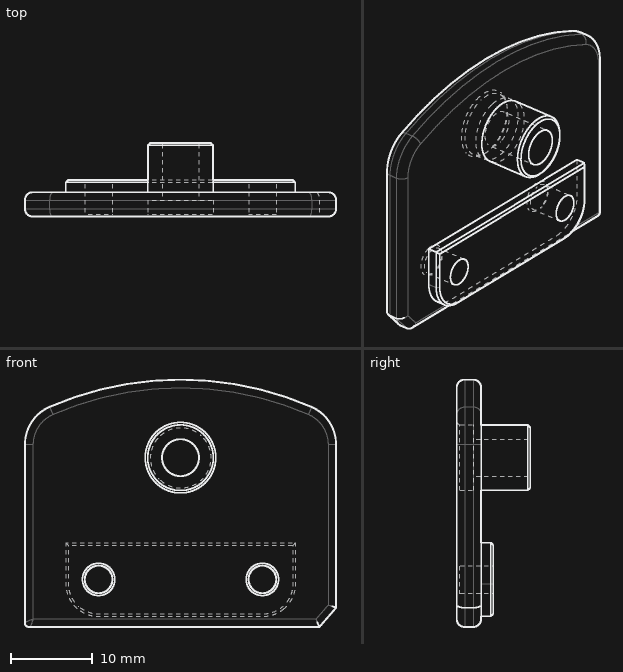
import cadquery as cq
import math

plate_width = 38.0
plate_height = 30.2
plate_thickness = 3.0
crown_radius = 40.0
shoulder_radius = 5.0
corner_cut_width = 2.05
corner_cut_height = 2.35
bottom_corner_radius = 0.5
edge_fillet = 1.0

boss_height_above_bottom = 20.67
boss_diameter = 7.98
boss_length = 6.0
boss_hole_diameter = 4.5
counterbore_diameter = 8.0
counterbore_depth = 2.0

pad_width = 28.0
pad_height = 9.0
pad_thickness = 1.5
pad_corner_radius = 4.0
hole_spacing = 20.0
hole_height_above_bottom = 5.8
hole_diameter = 3.35

break_chamfer = 0.3

half_width = plate_width / 2
back_y = plate_thickness


def cylinder_y(x, z, diameter, y_start, y_end):
    """Cylinder along Y between two Y positions."""
    return cq.Workplane("XY").add(
        cq.Solid.makeCylinder(
            diameter / 2, y_end - y_start, cq.Vector(x, y_start, z), cq.Vector(0, 1, 0)
        )
    )


def countersink_y(x, z, diameter):
    """Cone that chamfers a hole rim on the front face."""
    rim_radius = diameter / 2 + break_chamfer
    return cq.Workplane("XY").add(
        cq.Solid.makeCone(
            rim_radius, diameter / 2, break_chamfer, cq.Vector(x, 0, z), cq.Vector(0, 1, 0)
        )
    )


def make_plate():
    crown_center_z = plate_height - crown_radius
    shoulder_center_x = half_width - shoulder_radius
    center_distance = crown_radius - shoulder_radius
    shoulder_center_z = crown_center_z + math.sqrt(center_distance**2 - shoulder_center_x**2)
    joint_angle = math.asin(shoulder_center_x / center_distance)
    joint_x = crown_radius * math.sin(joint_angle)
    joint_z = crown_center_z + crown_radius * math.cos(joint_angle)
    middle_angle = (math.pi / 2 + joint_angle) / 2
    middle_x = shoulder_center_x + shoulder_radius * math.sin(middle_angle)
    middle_z = shoulder_center_z + shoulder_radius * math.cos(middle_angle)

    outline = (
        cq.Workplane("XZ")
        .moveTo(-half_width, 0)
        .lineTo(half_width - corner_cut_width, 0)
        .lineTo(half_width, corner_cut_height)
        .lineTo(half_width, shoulder_center_z)
        .threePointArc((middle_x, middle_z), (joint_x, joint_z))
        .threePointArc((0, plate_height), (-joint_x, joint_z))
        .threePointArc((-middle_x, middle_z), (-half_width, shoulder_center_z))
        .close()
    )
    plate = outline.extrude(-plate_thickness)
    plate = plate.faces("<X").edges("|Y and <Z").fillet(bottom_corner_radius)
    return plate.faces("<Y or >Y").edges().fillet(edge_fillet)


def make_boss():
    boss = cylinder_y(0, boss_height_above_bottom, boss_diameter, back_y, back_y + boss_length)
    return boss.faces(">Y").chamfer(break_chamfer)


def make_pad():
    pad = (
        cq.Workplane("XY")
        .box(pad_width, pad_thickness, pad_height, centered=(True, False, True))
        .translate((0, back_y, hole_height_above_bottom))
    )
    pad = pad.faces("<Z").edges("|Y").fillet(pad_corner_radius)
    return pad.faces(">Y").chamfer(break_chamfer)


result = make_plate().union(make_boss()).union(make_pad())

boss_end_y = back_y + boss_length
result = result.cut(cylinder_y(0, boss_height_above_bottom, boss_hole_diameter, 0, boss_end_y))
result = result.cut(cylinder_y(0, boss_height_above_bottom, counterbore_diameter, 0, counterbore_depth))
result = result.cut(countersink_y(0, boss_height_above_bottom, counterbore_diameter))

for hole_x in (-hole_spacing / 2, hole_spacing / 2):
    pad_face_y = back_y + pad_thickness
    result = result.cut(cylinder_y(hole_x, hole_height_above_bottom, hole_diameter, 0, pad_face_y))
    result = result.cut(countersink_y(hole_x, hole_height_above_bottom, hole_diameter))